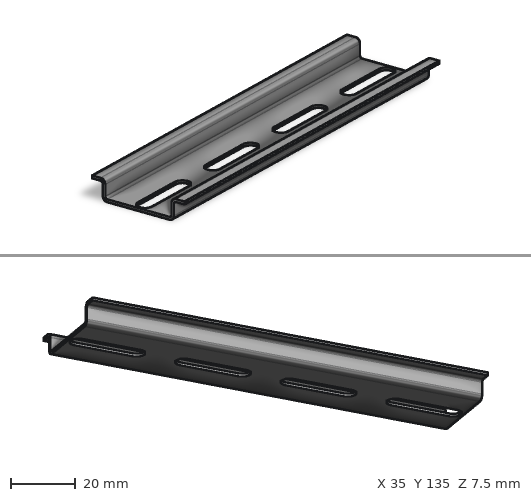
import cadquery as cq

length = 135.0
rail_width = 35.0
rail_height = 7.5
sheet = 1.0
channel_width = 27.0
inner_bend = 0.8
outer_bend = inner_bend + sheet

slot_count = 4
slot_pitch = 36.0
slot_length = 25.2
slot_width = 5.4


def box(width, bottom, top):
    """Full-length block centred on X and Y, between two heights."""
    return cq.Workplane("XY").workplane(offset=bottom).rect(width, length).extrude(top - bottom)


def make_rail():
    """Channel with outward flanges and rounded bends."""
    flange_bottom = rail_height - sheet
    channel_inside = channel_width - 2 * sheet

    solid = box(channel_width, 0, rail_height).union(box(rail_width, flange_bottom, rail_height))
    rail = solid.cut(box(channel_inside, sheet, rail_height))

    def bend_edges(width, height):
        """Lengthwise edges at both sides of the given width, at one height."""
        points = [(-width / 2, 0, height), (width / 2, 0, height)]
        return [
            edge
            for edge in rail.edges("|Y").vals()
            if any((edge.Center() - cq.Vector(*point)).Length < sheet / 10 for point in points)
        ]

    outside = bend_edges(channel_width, 0) + bend_edges(channel_inside, rail_height)
    inside = bend_edges(channel_inside, sheet) + bend_edges(channel_width, flange_bottom)
    body = rail.val().fillet(outer_bend, outside).fillet(inner_bend, inside)
    return cq.Workplane(body)


def make_slots():
    """Row of round-ended slots through the floor, along the centre line."""
    return (
        cq.Workplane("XY")
        .rarray(1.4, slot_pitch, 1, slot_count)
        .slot2D(slot_length, slot_width, 90)
        .extrude(sheet)
    )


result = make_rail().cut(make_slots())